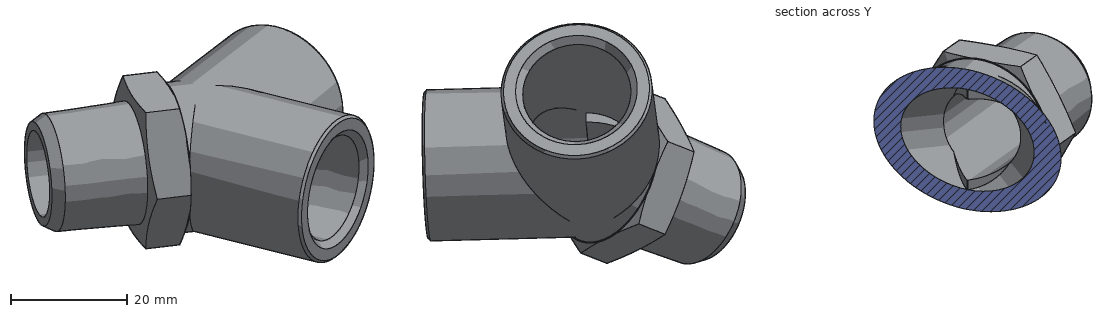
import cadquery as cq
import math


overall_length = 56.95

arm_angle = 45.0
arm_radius = 26.0 / 2
arm_length = 27.45
arm_edge_chamfer = 0.45
arm_mouth_radius = 10.5
arm_mouth_depth = 1.15
arm_bore_outer_radius = 18.6 / 2
arm_bore_inner_radius = 18.5 / 2
arm_bore_taper_depth = 13.0

hex_inner_y = -4.95
hex_thickness = 7.1
hex_outer_y = hex_inner_y - hex_thickness
hex_across_flats = 2 * arm_radius
hex_corner_radius = hex_across_flats / math.sqrt(3)
hex_chamfer_angle = 15.0
collar_radius = 26.35 / 2
collar_thickness = 0.1

arm_angle_rad = math.radians(arm_angle)
arm_top_y = (
    arm_length * math.cos(arm_angle_rad)
    + (arm_radius - arm_edge_chamfer) * math.sin(arm_angle_rad)
)
stem_end_y = arm_top_y - overall_length
stem_root_radius = 10.7
stem_front_radius = 10.25
stem_tip_radius = 9.05
stem_tip_chamfer_length = 2.05
stem_bore_radius = 15.0 / 2


def revolve_about_y(points):
    """Solid of revolution about Y from a closed (radius, y) outline."""
    return cq.Workplane("XY").polyline(points).close().revolve(360, (0, 0), (0, 1))


def y_cylinder(radius, y_start, y_end):
    return revolve_about_y([(0, y_start), (radius, y_start), (radius, y_end), (0, y_end)])


def place_on_arms(shape):
    """Two copies of a shape built along +Y, one on each arm axis."""
    left = shape.rotate((0, 0, 0), (0, 0, 1), arm_angle)
    right = shape.rotate((0, 0, 0), (0, 0, 1), -arm_angle)
    return left.union(right)


def make_arms():
    arm = y_cylinder(arm_radius, 0, arm_length)
    return place_on_arms(arm.faces(">Y").chamfer(arm_edge_chamfer))


def make_arm_bores():
    mouth_y = arm_length - arm_mouth_depth
    taper_y = arm_length - arm_bore_taper_depth
    bore = revolve_about_y([
        (0, 0),
        (arm_bore_inner_radius, 0),
        (arm_bore_inner_radius, taper_y),
        (arm_bore_outer_radius, mouth_y),
        (arm_mouth_radius, arm_length),
        (0, arm_length),
    ])
    return place_on_arms(bore)


def make_hexagon():
    prism = (
        cq.Workplane("XZ", origin=(0, hex_inner_y, 0))
        .polygon(6, 2 * hex_corner_radius)
        .extrude(hex_thickness)
    )
    face_radius = hex_across_flats / 2
    corner_drop = (hex_corner_radius - face_radius) * math.tan(math.radians(hex_chamfer_angle))
    corner_trim = revolve_about_y([
        (0, hex_outer_y),
        (face_radius, hex_outer_y),
        (hex_corner_radius, hex_outer_y + corner_drop),
        (hex_corner_radius, hex_inner_y - corner_drop),
        (face_radius, hex_inner_y),
        (0, hex_inner_y),
    ])
    return prism.intersect(corner_trim)


def make_stem():
    return revolve_about_y([
        (0, hex_outer_y),
        (stem_root_radius, hex_outer_y),
        (stem_front_radius, stem_end_y + stem_tip_chamfer_length),
        (stem_tip_radius, stem_end_y),
        (0, stem_end_y),
    ])


hub = y_cylinder(arm_radius, hex_inner_y, 0)
collar = y_cylinder(collar_radius, hex_inner_y - collar_thickness, hex_inner_y)
stem_bore = y_cylinder(stem_bore_radius, stem_end_y, 0)

body = make_arms().union(hub).union(make_hexagon()).union(collar).union(make_stem())
result = body.cut(make_arm_bores()).cut(stem_bore)